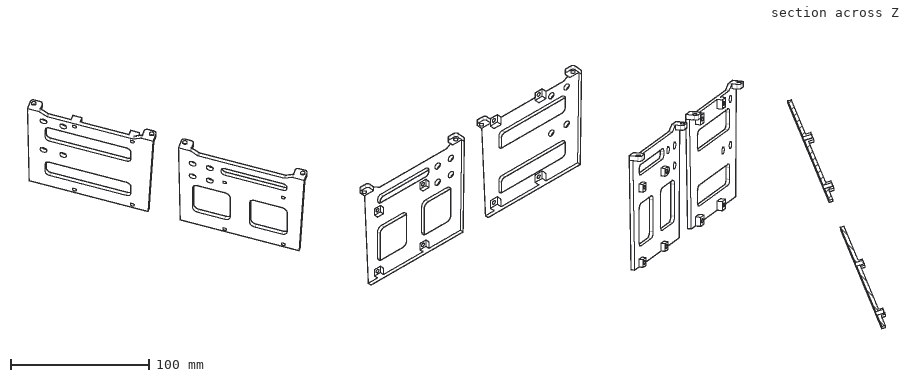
import cadquery as cq

OVERALL_WIDTH = 210.5
PANEL_WIDTH = 95.5
PANEL_HEIGHT = 87.2
PLATE_THICKNESS = 3.0
BOTTOM_LEFT_INSET = 1.3
BOTTOM_RIGHT_INSET = 3.8
TOP_STEP = 3.5
DIP_INSET = 9.0
SLOPE_RUN = 6.0
DIP_CORNER_RADIUS = 1.5

EAR_WIDTH = 9.0
EAR_REACH = 9.0
EAR_THICKNESS = TOP_STEP
EAR_CORNER_RADIUS = 2.1
EAR_HOLE_DIAMETER = 3.2
EAR_HOLE_INSET = 3.0
EAR_HOLE_Y = 6.1

CABLE_HOLE_DIAMETER = 5.0

WIDE_WINDOW_LENGTH = 65.0
WIDE_WINDOW_HEIGHT = 15.8
WIDE_WINDOW_RADIUS = 3.4
WIDE_WINDOW_X = 46.1
WIDE_WINDOW_ZS = (20.8, 62.5)
WIDE_PANEL_CABLE_XS = (12.2, 27.2)
WIDE_PANEL_CABLE_ZS = (42.0, 76.6)
LARGE_BOSS_SIZE = 7.0
LARGE_BOSS_REACH = 7.0
LARGE_BOSS_HOLE_DIAMETER = 3.0
LARGE_BOSS_XS = (35.8, 79.8)
LARGE_BOSS_ZS = (LARGE_BOSS_SIZE / 2, PANEL_HEIGHT - TOP_STEP - LARGE_BOSS_SIZE / 2)

TALL_WINDOW_WIDTH = 28.5
TALL_WINDOW_HEIGHT = 32.0
TALL_WINDOW_RADIUS = 4.0
TALL_WINDOW_XS = (25.0, 68.5)
TALL_WINDOW_Z = 31.0
SLOT_LENGTH = 50.0
SLOT_HEIGHT = 7.8
SLOT_RADIUS = 3.0
SLOT_X = 57.5
SLOT_Z = 72.5
TALL_PANEL_CABLE_XS = (10.7, 23.8)
TALL_PANEL_CABLE_ZS = (57.0, 72.2)
SMALL_BOSS_SIZE = 6.0
SMALL_BOSS_REACH = 6.1
SMALL_BOSS_HOLE_DIAMETER = 2.7
SMALL_BOSS_XS = (35.2, 79.8)
SMALL_BOSS_ZS = (SMALL_BOSS_SIZE / 2, 59.5)


def grid(xs, zs):
    return [(x, z) for x in xs for z in zs]


def front_plane():
    """Workplane on the front face, drawn in X and Z, whose normal points to the front (-Y)."""
    return cq.Workplane("XZ")


def prism(centers, length, height, reach):
    """Rectangular blocks from the front face to the depth `reach`."""
    return front_plane().pushPoints(centers).rect(length, height).extrude(-reach)


def round_holes(centers, diameter):
    return front_plane().pushPoints(centers).circle(diameter / 2).extrude(-EAR_REACH)


def windows(centers, length, height, radius):
    return prism(centers, length, height, PLATE_THICKNESS).edges("|Y").fillet(radius)


def plate():
    """Plate that tapers towards its bottom edge."""
    outline = [
        (BOTTOM_LEFT_INSET, 0),
        (PANEL_WIDTH - BOTTOM_RIGHT_INSET, 0),
        (PANEL_WIDTH, PANEL_HEIGHT),
        (0, PANEL_HEIGHT),
    ]
    return front_plane().polyline(outline).close().extrude(-PLATE_THICKNESS)


def top_dip():
    """Cutter that lowers the plate's top edge between the ears, with sloped and rounded ends."""
    dip_height = PANEL_HEIGHT - TOP_STEP
    cutter_top = PANEL_HEIGHT + TOP_STEP
    cutter_end = DIP_INSET / 2
    slope_end = DIP_INSET + SLOPE_RUN
    outline = [
        (cutter_end, cutter_top),
        (cutter_end, PANEL_HEIGHT),
        (DIP_INSET, PANEL_HEIGHT),
        (slope_end, dip_height),
        (PANEL_WIDTH - slope_end, dip_height),
        (PANEL_WIDTH - DIP_INSET, PANEL_HEIGHT),
        (PANEL_WIDTH - cutter_end, PANEL_HEIGHT),
        (PANEL_WIDTH - cutter_end, cutter_top),
    ]
    dip = front_plane().polyline(outline).close().extrude(-PLATE_THICKNESS)
    corners_at_slopes = dip.edges("|Y").edges("not(<X or >X)")
    return corners_at_slopes.fillet(DIP_CORNER_RADIUS)


def ears():
    """Two lugs flush with the top of the plate, with rounded back corners."""
    centers = [(x, EAR_REACH / 2) for x in (EAR_WIDTH / 2, PANEL_WIDTH - EAR_WIDTH / 2)]
    return (
        cq.Workplane("XY", origin=(0, 0, PANEL_HEIGHT))
        .pushPoints(centers)
        .rect(EAR_WIDTH, EAR_REACH)
        .extrude(-EAR_THICKNESS)
        .edges("|Z and >Y")
        .fillet(EAR_CORNER_RADIUS)
    )


def ear_holes():
    centers = [(x, EAR_HOLE_Y) for x in (EAR_HOLE_INSET, PANEL_WIDTH - EAR_HOLE_INSET)]
    return (
        cq.Workplane("XY", origin=(0, 0, PANEL_HEIGHT))
        .pushPoints(centers)
        .circle(EAR_HOLE_DIAMETER / 2)
        .extrude(-EAR_THICKNESS)
    )


def eared_plate():
    return plate().union(ears()).cut(top_dip()).cut(ear_holes())


def wide_window_panel():
    boss_centers = grid(LARGE_BOSS_XS, LARGE_BOSS_ZS)
    window_centers = grid((WIDE_WINDOW_X,), WIDE_WINDOW_ZS)
    cable_centers = grid(WIDE_PANEL_CABLE_XS, WIDE_PANEL_CABLE_ZS)
    return (
        eared_plate()
        .union(prism(boss_centers, LARGE_BOSS_SIZE, LARGE_BOSS_SIZE, LARGE_BOSS_REACH))
        .cut(round_holes(boss_centers, LARGE_BOSS_HOLE_DIAMETER))
        .cut(round_holes(cable_centers, CABLE_HOLE_DIAMETER))
        .cut(windows(window_centers, WIDE_WINDOW_LENGTH, WIDE_WINDOW_HEIGHT, WIDE_WINDOW_RADIUS))
    )


def tall_window_panel():
    boss_centers = grid(SMALL_BOSS_XS, SMALL_BOSS_ZS)
    window_centers = grid(TALL_WINDOW_XS, (TALL_WINDOW_Z,))
    cable_centers = grid(TALL_PANEL_CABLE_XS, TALL_PANEL_CABLE_ZS)
    return (
        eared_plate()
        .union(prism(boss_centers, SMALL_BOSS_SIZE, SMALL_BOSS_SIZE, SMALL_BOSS_REACH))
        .cut(round_holes(boss_centers, SMALL_BOSS_HOLE_DIAMETER))
        .cut(round_holes(cable_centers, CABLE_HOLE_DIAMETER))
        .cut(windows(window_centers, TALL_WINDOW_WIDTH, TALL_WINDOW_HEIGHT, TALL_WINDOW_RADIUS))
        .cut(windows([(SLOT_X, SLOT_Z)], SLOT_LENGTH, SLOT_HEIGHT, SLOT_RADIUS))
    )


left_panel = wide_window_panel()
right_panel = tall_window_panel().translate((OVERALL_WIDTH - PANEL_WIDTH, 0, 0))
result = cq.Compound.makeCompound([left_panel.val(), right_panel.val()])